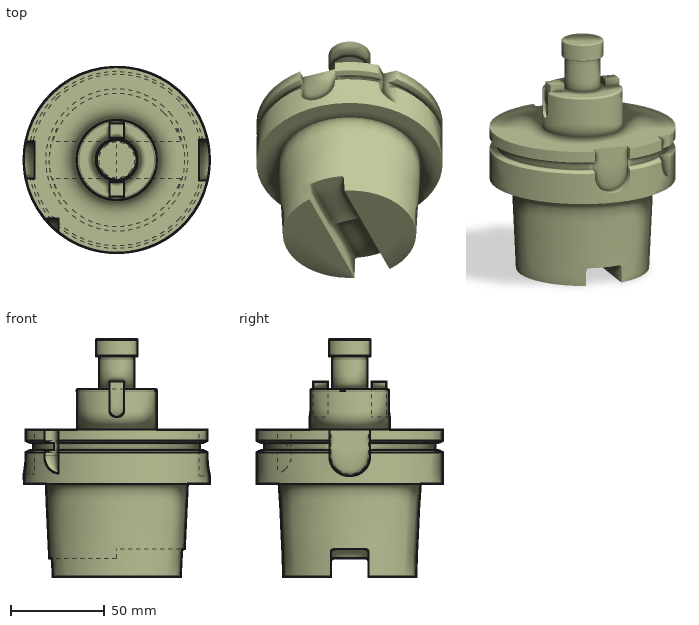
import cadquery as cq

flange_bottom_z = 49.9
flange_top_z = 79.0
boss_top_z = 100.8
pilot_top_z = 118.2
overall_height = 127.6

shank_bottom_diameter = 71.6
shank_top_diameter = 76.3
flange_diameter = 100.0
boss_diameter = 43.0
pilot_diameter = 19.3
boss_edge_radius = 1.1
pilot_edge_radius = 1.1

groove_diameter = 92.2
groove_lip_diameter = 95.0
groove_center_z = 70.0
groove_floor_height = 4.0
groove_mouth_height = 6.3

rim_slot_axis_z = 65.1
rim_slot_floor_x = 44.0
rim_slot_width_left = 20.0
rim_slot_width_right = 22.0
corner_notch_x = 31.4
corner_notch_y = 31.4

drive_slot_width = 20.0
drive_slot_height_left = 10.0
drive_slot_height_right = 14.8
drive_slot_corner_radius = 1.5

key_width = 8.0
key_inner_y = 11.7
key_outer_y = 19.7
key_bottom_z = 85.8
key_top_z = 104.8
key_angles = (0, 180)

screw_head_diameter = 22.5
screw_head_edge = 0.5


def cylinder(diameter, bottom_z, top_z):
    """Upright cylinder on the Z axis."""
    return cq.Workplane("XY").workplane(offset=bottom_z).circle(diameter / 2).extrude(top_z - bottom_z)


def make_holder_blank():
    """Taper shank, grooved flange, boss and pilot, without slots."""
    flange_radius = flange_diameter / 2
    lip_radius = groove_lip_diameter / 2
    floor_radius = groove_diameter / 2
    half_floor = groove_floor_height / 2
    half_mouth = groove_mouth_height / 2
    shank_and_flange = (
        cq.Workplane("XZ")
        .polyline([
            (0, 0),
            (shank_bottom_diameter / 2, 0),
            (shank_top_diameter / 2, flange_bottom_z),
            (flange_radius, flange_bottom_z),
            (flange_radius, groove_center_z - half_mouth),
            (lip_radius, groove_center_z - half_floor),
            (floor_radius, groove_center_z - half_floor),
            (floor_radius, groove_center_z + half_floor),
            (lip_radius, groove_center_z + half_floor),
            (flange_radius, groove_center_z + half_mouth),
            (flange_radius, flange_top_z),
            (0, flange_top_z),
        ])
        .close()
        .revolve(360, (0, 0, 0), (0, 1, 0))
    )
    boss = cylinder(boss_diameter, flange_top_z, boss_top_z).faces(">Z").edges().fillet(boss_edge_radius)
    pilot = cylinder(pilot_diameter, boss_top_z, pilot_top_z).faces(">Z").edges().fillet(pilot_edge_radius)
    return shank_and_flange.union(boss).union(pilot)


def make_rim_slot(width, center_y, start_x, end_x):
    """Cutter along X with a round bottom, open at the flange top."""
    length = end_x - start_x
    height = flange_top_z - rim_slot_axis_z
    straight = (
        cq.Workplane("XY", origin=(start_x, center_y, rim_slot_axis_z))
        .box(length, width, height, centered=(False, True, False))
    )
    round_bottom = (
        cq.Workplane("YZ", origin=(start_x, center_y, rim_slot_axis_z)).circle(width / 2).extrude(length)
    )
    return straight.union(round_bottom)


def make_drive_slot(height, direction):
    """Cutter from the Z axis outwards through the lower end of the shank; direction is -1 or 1 along X."""
    length = shank_top_diameter / 2
    return (
        cq.Workplane("XY", origin=(direction * length / 2, 0, 0))
        .box(length, drive_slot_width, height, centered=(True, True, False))
        .edges("|X and >Z")
        .fillet(drive_slot_corner_radius)
    )


def make_key_shape(outer_y, top_z):
    """Upright bar on the -Y side with a half-round lower end, from the key's inner face to outer_y."""
    radius = key_width / 2
    return (
        cq.Workplane("XZ", origin=(0, -key_inner_y, 0))
        .moveTo(-radius, top_z)
        .lineTo(-radius, key_bottom_z + radius)
        .threePointArc((0, key_bottom_z), (radius, key_bottom_z + radius))
        .lineTo(radius, top_z)
        .close()
        .extrude(outer_y - key_inner_y)
    )


def make_holder():
    """Tool holder with its rim slots, drive slots and key seats."""
    flange_radius = flange_diameter / 2
    holder = make_holder_blank()
    holder = holder.cut(make_rim_slot(rim_slot_width_left, 0, -flange_radius, -rim_slot_floor_x))
    holder = holder.cut(make_rim_slot(rim_slot_width_right, 0, rim_slot_floor_x, flange_radius))
    notch_center_y = -corner_notch_y - rim_slot_width_left / 2
    holder = holder.cut(make_rim_slot(rim_slot_width_left, notch_center_y, -flange_radius, -corner_notch_x))
    holder = holder.cut(make_drive_slot(drive_slot_height_left, -1))
    holder = holder.cut(make_drive_slot(drive_slot_height_right, 1))
    key_seat = make_key_shape(boss_diameter / 2, boss_top_z)
    for angle in key_angles:
        holder = holder.cut(key_seat.rotate((0, 0, 0), (0, 0, 1), angle))
    return holder


def make_drive_key(angle):
    """Drive key filling its seat and standing above the boss."""
    return make_key_shape(key_outer_y, key_top_z).rotate((0, 0, 0), (0, 0, 1), angle)


def make_screw_head():
    """Plain round screw head resting on the pilot."""
    return cylinder(screw_head_diameter, pilot_top_z, overall_height).edges("%CIRCLE").chamfer(screw_head_edge)


holder = make_holder()
drive_keys = [make_drive_key(angle) for angle in key_angles]
screw_head = make_screw_head()

result = cq.Compound.makeCompound(
    [holder.val(), *[key.val() for key in drive_keys], screw_head.val()]
)